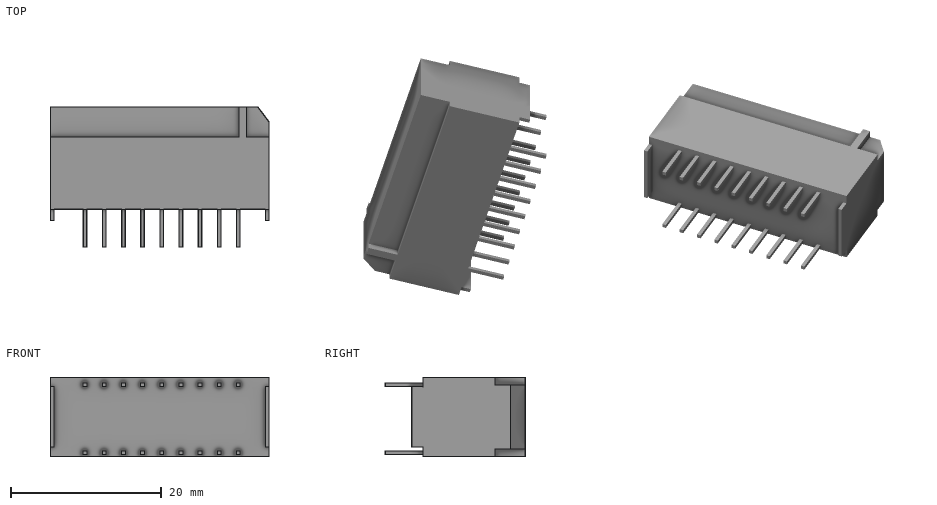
import cadquery as cq

body_length = 29.0
body_depth = 13.6
body_height = 10.5

bevel_length = 1.5
bevel_depth = 2.0

step_depth = 4.0
step_height = 1.0

rib_start = 25.0
rib_width = 1.0

tab_thickness = 0.5
tab_length = 1.5
tab_height = 8.0

pin_count = 9
pin_pitch = 2.54
pin_size = 0.5
pin_length = 5.0
first_pin_offset = 4.6
row_spacing = 9.0
upper_row_inset = 1.0

left_x = -body_length / 2
right_x = body_length / 2
top_z = body_height / 2
step_start_y = body_depth - step_depth
rib_end = rib_start + rib_width
upper_row_z = top_z - upper_row_inset
pin_rows_z = (upper_row_z, upper_row_z - row_spacing)


def block(x_min, y_min, z_min, x_size, y_size, z_size):
    """Axis-aligned box placed by its minimum corner."""
    return cq.Workplane("XY").box(x_size, y_size, z_size, centered=False).translate((x_min, y_min, z_min))


def make_housing():
    """Block with one rear corner bevelled over its full height."""
    outline = [
        (left_x, 0),
        (right_x, 0),
        (right_x, body_depth - bevel_depth),
        (right_x - bevel_length, body_depth),
        (left_x, body_depth),
    ]
    return cq.Workplane("XY").workplane(offset=-top_z).polyline(outline).close().extrude(body_height)


def cut_steps(housing):
    """Lower the rear of the top and bottom faces on both sides of the rib."""
    for z_min in (top_z - step_height, -top_z):
        long_step = block(left_x, step_start_y, z_min, rib_start, step_depth, step_height)
        short_step = block(
            left_x + rib_end, step_start_y, z_min, body_length - rib_end, step_depth, step_height
        )
        housing = housing.cut(long_step).cut(short_step)
    return housing


def add_tabs(housing):
    """Standoff tab flush with each end face."""
    for x_min in (left_x, right_x - tab_thickness):
        tab = block(x_min, -tab_length, -tab_height / 2, tab_thickness, tab_length, tab_height)
        housing = housing.union(tab)
    return housing


def add_pins(housing):
    """Two parallel rows of straight square pins."""
    for row_z in pin_rows_z:
        for index in range(pin_count):
            pin_x = left_x + first_pin_offset + index * pin_pitch
            pin = block(
                pin_x - pin_size / 2, -pin_length, row_z - pin_size / 2, pin_size, pin_length, pin_size
            )
            housing = housing.union(pin)
    return housing


result = add_pins(add_tabs(cut_steps(make_housing())))